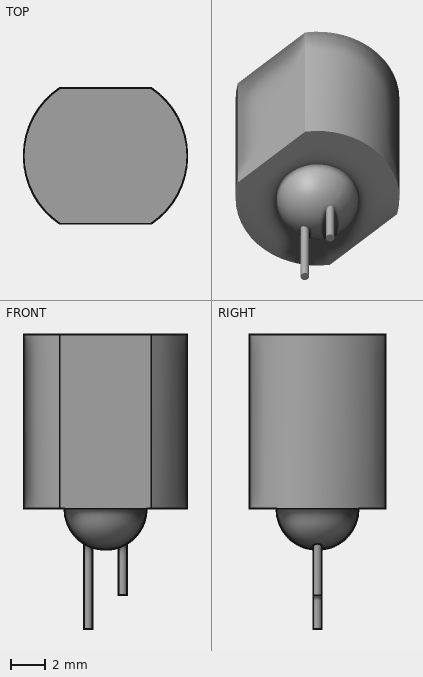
import cadquery as cq

total_height = 17.1
body_diameter = 9.5
width_across_flats = 7.9
body_height = 10.1

dome_radius = 2.4

lead_diameter = 0.5
lead_spacing = 2.0
long_lead_reach = total_height - body_height
short_lead_reach = long_lead_reach - 1.98


def make_body():
    """Round body with two flats facing -Y and +Y; its underside is at Z = 0."""
    cylinder = cq.Workplane("XY").circle(body_diameter / 2).extrude(body_height)
    flats = cq.Workplane("XY").rect(body_diameter, width_across_flats).extrude(body_height)
    return cylinder.intersect(flats)


def make_dome():
    """Sphere centred on the underside; its upper half lies inside the body."""
    return cq.Workplane("XY").sphere(dome_radius)


def make_lead(x, reach):
    """Round lead running down from the underside, through the dome."""
    return cq.Workplane("XY").center(x, 0).circle(lead_diameter / 2).extrude(-reach)


result = make_body().union(make_dome())
for x, reach in (
    (-lead_spacing / 2, long_lead_reach),
    (lead_spacing / 2, short_lead_reach),
):
    result = result.union(make_lead(x, reach))